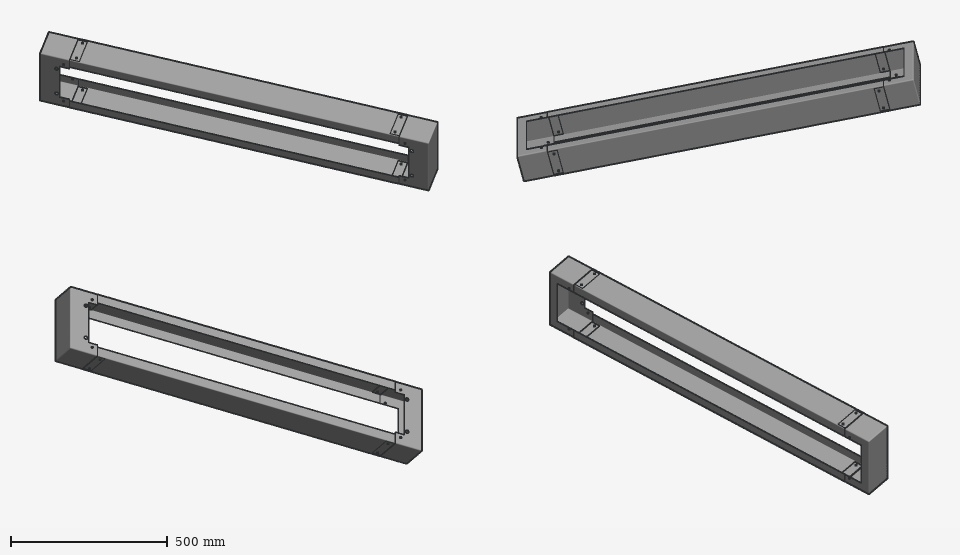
import cadquery as cq
length = 1300.0
width = 100.0
height = 230.0
sheet = 2.5

rail_height = 34.0
rail_bend_radius = 2.9

end_length = 100.0
end_bend_radius = 4.0
front_flange_depth = 68.0
front_gusset_height = 42.0
back_flange_depth = 32.0
back_gusset_height = rail_height

gusset_hole_from_end = 80.0
gusset_hole_from_edge = 27.0
gusset_hole_diameter = 6.0

mounting_hole_from_end = 57.0
mounting_hole_from_edge = 56.0
mounting_hole_diameter = 12.0

plate_length = 31.0
plate_inset = 6.0
plate_hole_from_joint = 18.0
plate_hole_from_side = 17.0
plate_hole_diameter = 6.0

rail_length = length - 2 * end_length
plate_width = width - 2 * plate_inset
SIDES = (-1, 1)


def box(size, centre):
    return cq.Workplane("XY").box(*size).translate(centre)


def hollow_box(bend_radius, bent_edges):
    """Closed sheet-metal box of the full frame size with the chosen edges rounded."""
    inner_radius = bend_radius - sheet
    outer = cq.Workplane("XY").box(length, width, height)
    inner = cq.Workplane("XY").box(length - 2 * sheet, width - 2 * sheet, height - 2 * sheet)
    return outer.edges(bent_edges).fillet(bend_radius).cut(inner.edges(bent_edges).fillet(inner_radius))


def flange_opening(side, y_side, depth, gusset_height):
    """Block that cuts one flange back between its two gussets."""
    size = (end_length, width / 2, height - 2 * gusset_height)
    x = side * (length / 2 - depth - end_length / 2)
    return box(size, (x, y_side * width / 4, 0))


def flange_holes(side, from_end, from_edge, diameter):
    """Upper and lower cutting cylinders along Y at one end of the frame."""
    x = side * (length / 2 - from_end)
    z = height / 2 - from_edge
    points = [(x, z_side * z) for z_side in SIDES]
    return cq.Workplane("XZ").pushPoints(points).circle(diameter / 2).extrude(width, both=True)


def end_piece(side):
    piece = hollow_box(end_bend_radius, "|X or |Y or |Z")
    piece = piece.intersect(box((end_length, width, height), (side * (length - end_length) / 2, 0, 0)))
    piece = piece.cut(flange_opening(side, -1, front_flange_depth, front_gusset_height))
    piece = piece.cut(flange_opening(side, 1, back_flange_depth, back_gusset_height))
    gusset_holes = flange_holes(side, gusset_hole_from_end, gusset_hole_from_edge, gusset_hole_diameter)
    mounting_holes = flange_holes(
        side, mounting_hole_from_end, mounting_hole_from_edge, mounting_hole_diameter
    )
    return piece.cut(gusset_holes).cut(mounting_holes)


def joint_holes():
    """Vertical holes shared by the rails and the joining plates."""
    x = rail_length / 2 - plate_hole_from_joint
    y = width / 2 - plate_hole_from_side
    points = [(x_side * x, y_side * y) for x_side in SIDES for y_side in SIDES]
    return cq.Workplane("XY").pushPoints(points).circle(plate_hole_diameter / 2).extrude(height, both=True)


def rail(z_side):
    tube = hollow_box(rail_bend_radius, "|X")
    keep = box((rail_length, width, rail_height), (0, 0, z_side * (height - rail_height) / 2))
    return tube.intersect(keep).cut(joint_holes())


def joining_plate(x_side, z_side):
    x = x_side * (rail_length - plate_length) / 2
    z = z_side * (height / 2 - 1.5 * sheet)
    return box((plate_length, plate_width, sheet), (x, 0, z)).cut(joint_holes())


end_pieces = [end_piece(side).val() for side in SIDES]
rails = [rail(z_side).val() for z_side in SIDES]
joining_plates = [joining_plate(x_side, z_side).val() for x_side in SIDES for z_side in SIDES]

result = cq.Compound.makeCompound([*end_pieces, *rails, *joining_plates])